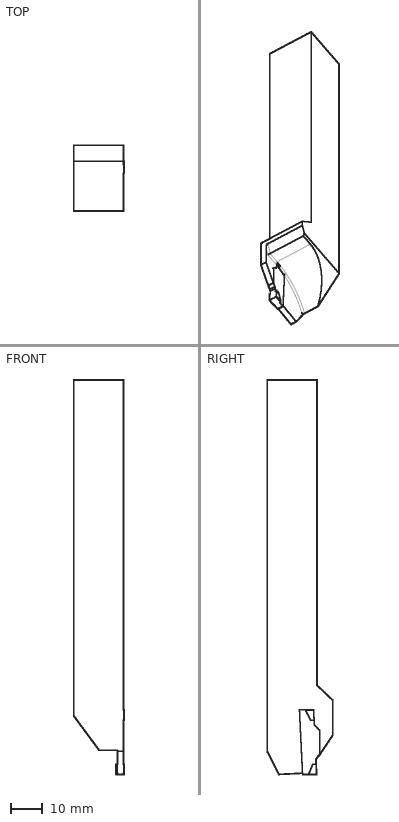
import cadquery as cq
import math

shank = 15.9
total_height = 125
heel_depth = 20.9
heel_shoulder_z = 28.2
heel_top_z = 23.5
heel_bottom_z = 12.5

blade_thickness = 2.0
blade_left = shank - blade_thickness
nose_front_y = 3.8
nose_side_z = 7.4
nose_drop = 0.4
jaw_tip_y, jaw_tip_z = 16.6, 6.1

chamfer_top_z = 18.6
shank_bottom_z = 7.6
chamfer_width = 8.1

relief_roof_z = 17.9
relief_arc_start_y = 15.6
relief_heel_y = 19.5
relief_heel_z = 21.4
root_fillet = 0.6
pick_margin = 0.1
clearance = 1.2

insert_length = 20.5
head_overhang = 0.2
head_width = 2.8
corner_chamfer = 0.1
head_length = 3.2
rake_tip_y = 15.8
rear_rake_y = 14.8
insert_top_y = 16.6
seat_tip_y = 11.2
step_start, step_end = 4.8, 6.5
flank_depth = 1.1
flank_depth_end = 2.6
tilt = math.atan2(rake_tip_y - rear_rake_y, insert_length)


def leaned(y, z):
    """Move a point towards -Y with height, following the lean of the insert."""
    return (y - z * math.tan(tilt), z)


def prism(points, left, right):
    """Extrude a closed YZ outline along X between two planes."""
    return cq.Workplane("YZ").workplane(offset=left).polyline(points).close().extrude(right - left)


def make_insert():
    far_step_start = insert_length - step_start
    far_step_end = insert_length - step_end
    body = prism([
        leaned(seat_tip_y, 0),
        leaned(rake_tip_y, 0),
        leaned(rake_tip_y, step_start),
        (insert_top_y, step_end),
        (insert_top_y, far_step_end),
        leaned(rake_tip_y, far_step_start),
        leaned(rake_tip_y, insert_length),
        leaned(seat_tip_y, insert_length),
    ], blade_left, shank)
    head_right = shank + head_overhang
    for end_z, inward in ((0, 1), (insert_length, -1)):
        inner_z = end_z + inward * head_length
        head = prism([
            leaned(rake_tip_y, end_z),
            leaned(rake_tip_y, inner_z),
            leaned(rake_tip_y - flank_depth, inner_z),
            leaned(rake_tip_y - flank_depth_end, end_z),
        ], head_right - head_width, head_right)
        outer_face = "<Z" if inward > 0 else ">Z"
        head = head.faces(outer_face).edges("|Y").chamfer(corner_chamfer)
        body = body.union(head)
    return body


def make_relief():
    """Space beside the blade, with a curved roof and a small root fillet at the blade."""
    cutter = (
        cq.Workplane("YZ").workplane(offset=-clearance)
        .moveTo(heel_depth, relief_heel_z)
        .lineTo(relief_heel_y, relief_roof_z)
        .lineTo(relief_arc_start_y, relief_roof_z)
        .tangentArcPoint((0, nose_side_z), relative=False)
        .lineTo(0, -clearance)
        .lineTo(heel_depth, -clearance)
        .close()
        .extrude(blade_left + clearance)
    )
    root_edges = cq.selectors.BoxSelector(
        (blade_left - pick_margin, 0, nose_side_z),
        (blade_left + pick_margin, heel_depth - pick_margin, relief_heel_z),
    )
    return cutter.edges(root_edges).fillet(root_fillet)


def make_holder(insert):
    holder = prism([
        (0, nose_side_z),
        (0, total_height),
        (shank, total_height),
        (shank, heel_shoulder_z),
        (heel_depth, heel_top_z),
        (heel_depth, heel_bottom_z),
        (jaw_tip_y, jaw_tip_z),
        (seat_tip_y, nose_drop),
        (nose_front_y, 0),
    ], 0, shank)
    side_chamfer = (
        cq.Workplane("XZ")
        .polyline([
            (0, chamfer_top_z),
            (chamfer_width, shank_bottom_z),
            (blade_left, shank_bottom_z),
            (blade_left, 0),
            (0, 0),
        ])
        .close()
        .extrude(-heel_depth)
    )
    return holder.cut(side_chamfer).cut(make_relief()).cut(insert)


insert = make_insert()
holder = make_holder(insert)
result = cq.Compound.makeCompound([holder.val(), insert.val()])